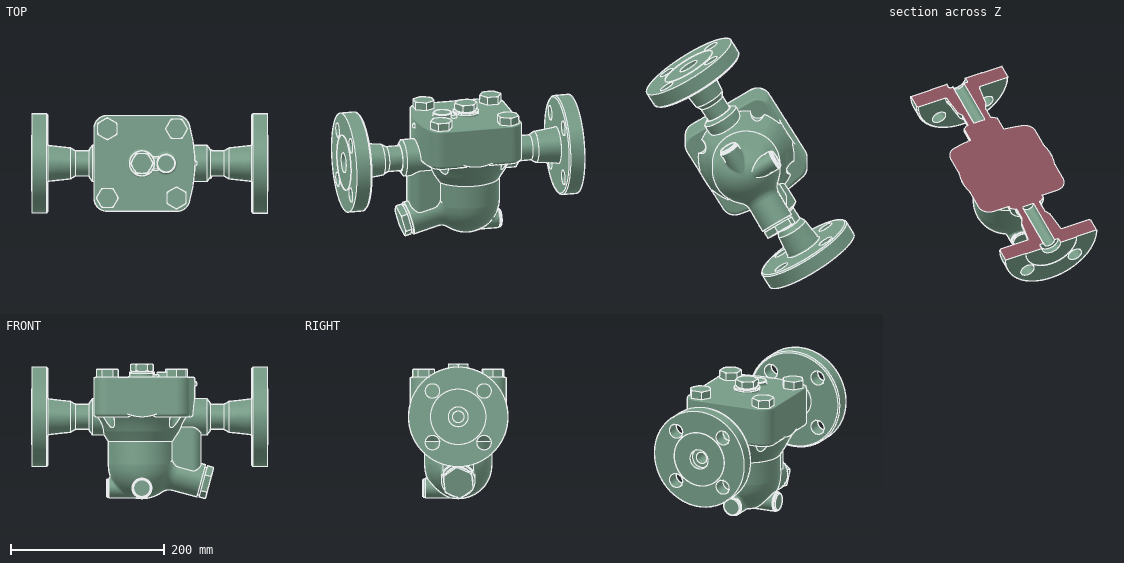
import cadquery as cq
import math


face_to_face = 309.0
pipe_mid_x = 10.2
flange_d = 130.0
flange_back = 21.5
flange_chamfer = 2.0
raised_face_d = 72.3
raised_face_height = 0.5
bolt_hole_d = 19.0
bolt_hole_offset = 33.7
hub_root_d = 48.8
hub_fillet = 2.8
hub_base_d = 46.7
hub_tip_d = 40.8
hub_tip_dist = 51.0
pipe_d = 33.0
pipe_start_dist = 57.8
collar_step_d = 35.8
collar_step_dist = 75.5
collar_d = 48.0
collar_dist = 79.7
bore_d = 26.0
bore_depth = 7.5
pipe_bore_d = 15.0

block_half = 62.7
stud_pitch = 45.0
corner_r = block_half - stud_pitch
bow_x = 69.2
bow_bottom_x = 67.7
block_bottom_z = -0.3
joint_z = 29.5
cover_top_z = 51.5
cover_fillet = 2.0
block_fillet = 4.0

pot_r = 44.2
pot_ball_z = -62.7
cone_bottom_z = -32.0
cone_top_z = -19.2
cone_top_r = 52.2
flare_mid_r = 57.8
flare_mid_z = -7.7
flare_top_r = 65.8
flare_top_z = 4.0
stud_clearance_d = 19.0

bolt_flats = 25.0
bolt_head_height = 10.5
bolt_chamfer = 1.0

cap_boss_d = 32.0
cap_fillet = 3.0
cap_boss_top_z = 56.2
cap_washer_d = 33.0
cap_washer_top_z = 58.5
cap_neck_d = 26.0
cap_hex_bottom_z = 59.3
cap_hex_top_z = 69.0
cap_hex_flats = 26.0
cap_hex_chamfer = 1.2

pad_x = 31.5
pad_d = 24.0
pad_fillet = 3.7
pad_top_z = 58.5
pad_chamfer = 1.0
bridge_width = 14.2
bridge_foot_width = 18.5
bridge_top_z = 55.0

pin_r = 3.0
pin_x = 69.0
pin_z = 43.0

rib_end_x = 77.2
rib_half_width = 19.8
rib_corner_r = 11.7
rib_bottom_z = -74.2
branch_tilt = 15.0
branch_d = 44.0
branch_length = 80.0
branch_blend_start = 46.7
branch_washer_d = 38.0
branch_washer_length = 2.8
branch_hex_corners = 42.5
branch_hex_length = 8.5
branch_hex_turn = 6.0
branch_hex_chamfer = 1.0

drain_z = -93.0
drain_boss_d = 26.0
drain_boss_length = 43.5
drain_boss_chamfer = 1.0
drain_blend = 3.5
inlet_drain_direction = 180
front_drain_direction = -90
drain_plug_d = 24.0
drain_plug_length = 46.5
drain_plug_chamfer = 1.2


def cylinder(diameter, bottom, top):
    return cq.Workplane("XY").workplane(offset=bottom).circle(diameter / 2).extrude(top - bottom)


def hexagon(flats, bottom, top):
    corners = flats / math.cos(math.pi / 6)
    return cq.Workplane("XY").workplane(offset=bottom).polygon(6, corners).extrude(top - bottom)


def hex_head(flats, bottom, top, chamfer, chamfered_faces):
    """Hexagon with its corners turned off, two of its flats facing +Y and -Y."""
    corners = flats / math.cos(math.pi / 6)
    envelope = cylinder(corners, bottom, top).faces(chamfered_faces).chamfer(chamfer)
    return hexagon(flats, bottom, top).intersect(envelope)


def flared_boss(diameter, bottom, top, fillet):
    """Round boss with a concave fillet at its foot."""
    radius = diameter / 2
    return (
        cq.Workplane("XZ")
        .moveTo(0, bottom)
        .lineTo(radius + fillet, bottom)
        .radiusArc((radius, bottom + fillet), fillet)
        .lineTo(radius, top)
        .lineTo(0, top)
        .close()
        .revolve(360, (0, 0, 0), (0, 1, 0))
    )


def block_outline(bow, z):
    """Square with rounded corners whose +X side is an arc bulging out to x = bow."""
    gap = bow - corner_r
    bow_centre_x = (gap**2 - 2 * stud_pitch**2) / (2 * (gap - stud_pitch))
    bow_angle = math.atan2(stud_pitch, stud_pitch - bow_centre_x)

    def corner_point(angle):
        return (stud_pitch + corner_r * math.cos(angle), stud_pitch + corner_r * math.sin(angle))

    bow_end = corner_point(bow_angle)
    corner_mid = corner_point((bow_angle + math.pi / 2) / 2)
    square_mid = corner_point(math.pi / 4)
    return (
        cq.Workplane("XY")
        .workplane(offset=z)
        .moveTo(-stud_pitch, -block_half)
        .lineTo(stud_pitch, -block_half)
        .threePointArc((corner_mid[0], -corner_mid[1]), (bow_end[0], -bow_end[1]))
        .threePointArc((bow, 0), bow_end)
        .threePointArc(corner_mid, (stud_pitch, block_half))
        .lineTo(-stud_pitch, block_half)
        .threePointArc((-square_mid[0], square_mid[1]), (-block_half, stud_pitch))
        .lineTo(-block_half, -stud_pitch)
        .threePointArc((-square_mid[0], -square_mid[1]), (-stud_pitch, -block_half))
        .close()
    )


def make_cover():
    cover = block_outline(bow_x, joint_z).extrude(cover_top_z - joint_z)
    cover = cover.faces(">Z").edges().fillet(cover_fillet)
    pin = cq.Workplane("XY").sphere(pin_r).translate((pin_x, 0, pin_z))
    return cover.union(pin)


def make_top_block():
    lower = block_outline(bow_bottom_x, block_bottom_z).wires().val()
    upper = block_outline(bow_x, joint_z).wires().val()
    block = cq.Workplane(cq.Solid.makeLoft([lower, upper], True))
    return block.faces("<Z").edges().fillet(block_fillet)


def make_pot():
    pot = (
        cq.Workplane("XZ")
        .moveTo(0, flare_top_z)
        .lineTo(flare_top_r, flare_top_z)
        .threePointArc((flare_mid_r, flare_mid_z), (cone_top_r, cone_top_z))
        .lineTo(pot_r, cone_bottom_z)
        .lineTo(pot_r, pot_ball_z)
        .radiusArc((0, pot_ball_z - pot_r), pot_r)
        .close()
        .revolve(360, (0, 0, 0), (0, 1, 0))
    )
    pot_bottom_z = pot_ball_z - pot_r
    envelope = block_outline(bow_bottom_x, pot_bottom_z).extrude(flare_top_z - pot_bottom_z)
    return pot.intersect(envelope)


def make_stud_clearances():
    return (
        cq.Workplane("XY")
        .workplane(offset=cone_bottom_z)
        .rect(2 * stud_pitch, 2 * stud_pitch, forConstruction=True)
        .vertices()
        .circle(stud_clearance_d / 2)
        .extrude(block_bottom_z - cone_bottom_z)
    )


def point_drain(drain, direction):
    """Lay a drain part made along +Z down to the given angle about Z, at drain height."""
    drain = drain.rotate((0, 0, 0), (0, 1, 0), 90)
    return drain.rotate((0, 0, 0), (0, 0, 1), direction).translate((0, 0, drain_z))


def make_drains():
    """Two plugged drain bosses; only the one on the inlet side is blended into the ball."""
    boss = cylinder(drain_boss_d, 0, drain_boss_length).faces(">Z").chamfer(drain_boss_chamfer)
    plug = cylinder(drain_plug_d, 0, drain_plug_length).faces(">Z").chamfer(drain_plug_chamfer)
    front_drain = point_drain(boss.union(plug), front_drain_direction)
    ball = cq.Workplane("XY").sphere(pot_r).translate((0, 0, pot_ball_z))
    blended_ball = ball.union(point_drain(boss, inlet_drain_direction))
    blended_ball = blended_ball.edges("%BSPLINE").fillet(drain_blend)
    return blended_ball.union(point_drain(plug, inlet_drain_direction)).union(front_drain)


def make_branch():
    """Strainer branch blended into the ball by an arc tangent to both."""
    radius = branch_d / 2
    offset_sq = branch_blend_start**2 + radius**2
    blend_r = (offset_sq - pot_r**2) / (2 * (pot_r - radius))
    shrink = pot_r / (pot_r + blend_r)
    blend_foot = ((radius + blend_r) * shrink, branch_blend_start * shrink)
    washer_end = branch_length + branch_washer_length
    hex_end = washer_end + branch_hex_length
    flats = branch_hex_corners * math.cos(math.pi / 6)
    branch = (
        cq.Workplane("XZ")
        .lineTo(blend_foot[0], blend_foot[1])
        .radiusArc((radius, branch_blend_start), blend_r)
        .lineTo(radius, branch_length)
        .lineTo(branch_washer_d / 2, branch_length)
        .lineTo(branch_washer_d / 2, washer_end)
        .lineTo(0, washer_end)
        .close()
        .revolve(360, (0, 0, 0), (0, 1, 0))
    )
    head = hex_head(flats, washer_end, hex_end, branch_hex_chamfer, ">Z")
    branch = branch.union(head.rotate((0, 0, 0), (0, 0, 1), branch_hex_turn))
    return branch.rotate((0, 0, 0), (0, 1, 0), 90 + branch_tilt).translate((0, 0, pot_ball_z))


def make_rib():
    return (
        cq.Workplane("XY")
        .workplane(offset=rib_bottom_z)
        .center(rib_end_x / 2, 0)
        .rect(rib_end_x, 2 * rib_half_width)
        .extrude(-rib_bottom_z)
        .edges("|Z and >X")
        .fillet(rib_corner_r)
    )


def make_cover_bolts():
    bolts = cq.Workplane("XY")
    head = hex_head(bolt_flats, cover_top_z, cover_top_z + bolt_head_height, bolt_chamfer, ">Z")
    for side_x in (-1, 1):
        for side_y in (-1, 1):
            turn = 0 if side_x == side_y else 90
            place = (side_x * stud_pitch, side_y * stud_pitch, 0)
            bolts = bolts.add(head.rotate((0, 0, 0), (0, 0, 1), turn).translate(place))
    return bolts.combine()


def make_cap():
    boss = flared_boss(cap_boss_d, cover_top_z, cap_boss_top_z, cap_fillet)
    washer = cylinder(cap_washer_d, cap_boss_top_z, cap_washer_top_z)
    neck = cylinder(cap_neck_d, cap_washer_top_z, cap_hex_bottom_z)
    head = hex_head(cap_hex_flats, cap_hex_bottom_z, cap_hex_top_z, cap_hex_chamfer, "<Z or >Z")
    return boss.union(washer).union(neck).union(head)


def make_pad():
    pad = flared_boss(pad_d, cover_top_z, pad_top_z, pad_fillet)
    pad = pad.faces(">Z").chamfer(pad_chamfer).translate((pad_x, 0, 0))
    bridge = (
        cq.Workplane("YZ")
        .moveTo(-bridge_foot_width / 2, cover_top_z)
        .lineTo(bridge_foot_width / 2, cover_top_z)
        .lineTo(bridge_width / 2, bridge_top_z)
        .lineTo(-bridge_width / 2, bridge_top_z)
        .close()
        .extrude(pad_x)
    )
    return pad.union(bridge)


def make_nozzle():
    """Flanged nozzle with its face at the origin and its axis along +X."""
    hub_base_dist = flange_back + hub_fillet
    nozzle = (
        cq.Workplane("XY")
        .lineTo(0, raised_face_d / 2)
        .lineTo(raised_face_height, raised_face_d / 2)
        .lineTo(raised_face_height, flange_d / 2)
        .lineTo(flange_back - flange_chamfer, flange_d / 2)
        .lineTo(flange_back, flange_d / 2 - flange_chamfer)
        .lineTo(flange_back, hub_root_d / 2)
        .radiusArc((hub_base_dist, hub_base_d / 2), -hub_fillet)
        .lineTo(hub_tip_dist, hub_tip_d / 2)
        .lineTo(pipe_start_dist, pipe_d / 2)
        .lineTo(collar_step_dist, pipe_d / 2)
        .lineTo(collar_step_dist, collar_step_d / 2)
        .lineTo(collar_dist, collar_d / 2)
        .lineTo(face_to_face / 2 - pipe_mid_x, collar_d / 2)
        .lineTo(face_to_face / 2 - pipe_mid_x, 0)
        .close()
        .revolve(360, (0, 0, 0), (1, 0, 0))
    )
    bore = cq.Workplane("YZ").circle(bore_d / 2).extrude(bore_depth)
    pipe_bore = cq.Workplane("YZ").circle(pipe_bore_d / 2).extrude(collar_step_dist)
    bolt_holes = (
        cq.Workplane("YZ")
        .rect(2 * bolt_hole_offset, 2 * bolt_hole_offset, forConstruction=True)
        .vertices()
        .circle(bolt_hole_d / 2)
        .extrude(flange_back)
    )
    return nozzle.cut(bore).cut(pipe_bore).cut(bolt_holes)


nozzle = make_nozzle()
inlet = nozzle.translate((pipe_mid_x - face_to_face / 2, 0, 0))
outlet = nozzle.rotate((0, 0, 0), (0, 0, 1), 180).translate((pipe_mid_x + face_to_face / 2, 0, 0))

result = make_pot().cut(make_stud_clearances())
for feature in (
    make_drains(),
    make_branch(),
    make_rib(),
    make_top_block(),
    make_cover(),
    make_cap(),
    make_pad(),
    make_cover_bolts(),
    inlet,
    outlet,
):
    result = result.union(feature)